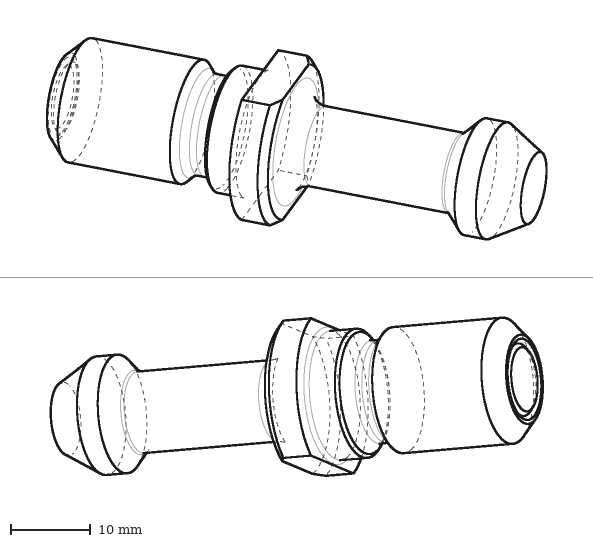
import cadquery as cq
import math

LENGTH = 62.95
PLUG_END = 17.3
RELIEF_FLAT_START = 19.4
RELIEF_FLAT_END = 20.3
FLANGE_START = 26.4
FLANGE_END = 31.15
NECK_END = 52.6
HEAD_TAPER_START = 58.0

PLUG_RADIUS = 15.85 / 2
RELIEF_RADIUS = 12.95 / 2
COLLAR_RADIUS = 16.25 / 2
FLANGE_RADIUS = 21.8 / 2
NECK_RADIUS = 10.25 / 2
HEAD_RADIUS = 14.9 / 2
TIP_RADIUS = 4.6

PLUG_CHAMFER = 2.3
RELIEF_FILLET = 1.65
RELIEF_EXIT_ANGLE = 74.0
COLLAR_CHAMFER = 0.45
COLLAR_FILLET = 0.5
FLANGE_CHAMFER = 1.0
NECK_FILLET = 3.0
HEAD_FILLET = 0.55
CONE_ANGLE = 45.0

ACROSS_FLATS = 17.5
GROOVE_OUTER_RADIUS = 5.1
GROOVE_INNER_RADIUS = 4.0
GROOVE_DEPTH = 0.5


def rising_fillet(start_x, base_radius, fillet_radius, angle):
    """Mid and end points of a concave arc that leaves a cylinder and climbs to the given slope."""
    points = []
    for turn in (math.radians(angle / 2), math.radians(angle)):
        x = start_x + fillet_radius * math.sin(turn)
        points.append((x, base_radius + fillet_radius * (1 - math.cos(turn))))
    return points


def falling_fillet(end_x, base_radius, fillet_radius, angle):
    """Start and mid points of a concave arc that descends from the given slope onto a cylinder."""
    mid, start = rising_fillet(-end_x, base_radius, fillet_radius, angle)
    return (-start[0], start[1]), (-mid[0], mid[1])


def turned_body():
    """Revolve the half profile about the X axis."""
    entry_start, entry_mid = falling_fillet(RELIEF_FLAT_START, RELIEF_RADIUS, RELIEF_FILLET, CONE_ANGLE)
    exit_mid, exit_end = rising_fillet(RELIEF_FLAT_END, RELIEF_RADIUS, RELIEF_FILLET, RELIEF_EXIT_ANGLE)
    collar_start = exit_end[0] + COLLAR_CHAMFER
    collar_mid, collar_end = rising_fillet(FLANGE_START - COLLAR_FILLET, COLLAR_RADIUS, COLLAR_FILLET, 90)
    neck_start = FLANGE_END + NECK_FILLET
    neck_top, neck_mid = falling_fillet(neck_start, NECK_RADIUS, NECK_FILLET, 90)
    head_mid, head_end = rising_fillet(NECK_END, NECK_RADIUS, HEAD_FILLET, CONE_ANGLE)
    head_start = head_end[0] + (HEAD_RADIUS - head_end[1]) / math.tan(math.radians(CONE_ANGLE))

    profile = (
        cq.Workplane("XY")
        .moveTo(0, 0)
        .lineTo(0, PLUG_RADIUS - PLUG_CHAMFER)
        .lineTo(PLUG_CHAMFER, PLUG_RADIUS)
        .lineTo(PLUG_END, PLUG_RADIUS)
        .lineTo(*entry_start)
        .threePointArc(entry_mid, (RELIEF_FLAT_START, RELIEF_RADIUS))
        .lineTo(RELIEF_FLAT_END, RELIEF_RADIUS)
        .threePointArc(exit_mid, exit_end)
        .lineTo(collar_start, COLLAR_RADIUS)
        .lineTo(FLANGE_START - COLLAR_FILLET, COLLAR_RADIUS)
        .threePointArc(collar_mid, collar_end)
        .lineTo(FLANGE_START, FLANGE_RADIUS)
        .lineTo(FLANGE_END - FLANGE_CHAMFER, FLANGE_RADIUS)
        .lineTo(FLANGE_END, FLANGE_RADIUS - FLANGE_CHAMFER)
        .lineTo(*neck_top)
        .threePointArc(neck_mid, (neck_start, NECK_RADIUS))
        .lineTo(NECK_END, NECK_RADIUS)
        .threePointArc(head_mid, head_end)
        .lineTo(head_start, HEAD_RADIUS)
        .lineTo(HEAD_TAPER_START, HEAD_RADIUS)
        .lineTo(LENGTH, TIP_RADIUS)
        .lineTo(LENGTH, 0)
        .close()
    )
    return profile.revolve(360, (0, 0, 0), (1, 0, 0))


def flats_envelope():
    """Slab that trims the flange to two flats facing +Z and -Z."""
    slab = cq.Workplane("XY").box(LENGTH, 2 * FLANGE_RADIUS, ACROSS_FLATS)
    return slab.translate((LENGTH / 2, 0, 0))


def face_groove():
    """Annular V groove cut into the plug end face."""
    middle_radius = (GROOVE_OUTER_RADIUS + GROOVE_INNER_RADIUS) / 2
    section = [(0, GROOVE_INNER_RADIUS), (GROOVE_DEPTH, middle_radius), (0, GROOVE_OUTER_RADIUS)]
    return cq.Workplane("XY").polyline(section).close().revolve(360, (0, 0, 0), (1, 0, 0))


result = turned_body().intersect(flats_envelope()).cut(face_groove())